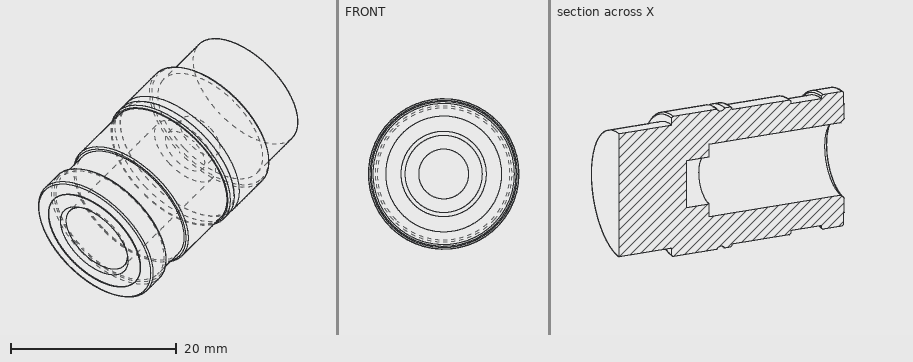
import cadquery as cq

length = 30.0
body_diameter = 18.2
barrel_diameter = 17.5
neck_diameter = 16.5
spigot_diameter = 16.0
edge_chamfer = 0.2

pad_diameter = 14.0
pad_height = 0.1

head_length = 3.0
head_end = pad_height + head_length
neck_length = 4.0
neck_end = head_end + neck_length
body_start = 14.95
spigot_length = 7.0
spigot_start = length - spigot_length

groove_center = 16.45
groove_width = 1.0
groove_depth = 0.33

bore_diameter = 9.33
bore_mouth_diameter = 10.32
bore_depth = 18.0
inner_bore_diameter = 6.03
inner_bore_depth = 21.0


def cylinder(diameter, start, end):
    """Cylinder along +Y from start to end."""
    plane = cq.Workplane("XZ", origin=(0, start, 0))
    return plane.circle(diameter / 2).extrude(start - end)


def chamfered_cylinder(diameter, start, end, edges):
    """Cylinder with a chamfer on the end edges picked by the selector."""
    return cylinder(diameter, start, end).edges(edges).chamfer(edge_chamfer)


def groove_ring():
    """Ring with an arc bottom, spanning the groove."""
    surface = body_diameter / 2
    half_width = groove_width / 2
    clear_radius = surface + groove_depth
    return (
        cq.Workplane("XY")
        .moveTo(clear_radius, groove_center - half_width)
        .lineTo(surface, groove_center - half_width)
        .threePointArc(
            (surface - groove_depth, groove_center),
            (surface, groove_center + half_width),
        )
        .lineTo(clear_radius, groove_center + half_width)
        .close()
        .revolve(360, (0, 0, 0), (0, 1, 0))
    )


def stepped_bore():
    """Main bore with a 45 degree mouth and a smaller bore in its floor."""
    bore_radius = bore_diameter / 2
    mouth_radius = bore_mouth_diameter / 2
    main_bore = (
        cq.Workplane("XY")
        .lineTo(mouth_radius, 0)
        .lineTo(bore_radius, mouth_radius - bore_radius)
        .lineTo(bore_radius, bore_depth)
        .lineTo(0, bore_depth)
        .close()
        .revolve(360, (0, 0, 0), (0, 1, 0))
    )
    inner_bore = cylinder(inner_bore_diameter, 0, inner_bore_depth)
    return main_bore.union(inner_bore)


pad = cylinder(pad_diameter, 0, head_end)
head = chamfered_cylinder(barrel_diameter, pad_height, head_end, "<Y or >Y")
neck = cylinder(neck_diameter, head_end, neck_end)
barrel = chamfered_cylinder(barrel_diameter, neck_end, body_start, "<Y")
body = chamfered_cylinder(body_diameter, body_start, spigot_start, "<Y or >Y")
spigot = cylinder(spigot_diameter, spigot_start, length)

outside = pad.union(head).union(neck).union(barrel).union(body).union(spigot)
result = outside.cut(groove_ring()).cut(stepped_bore())